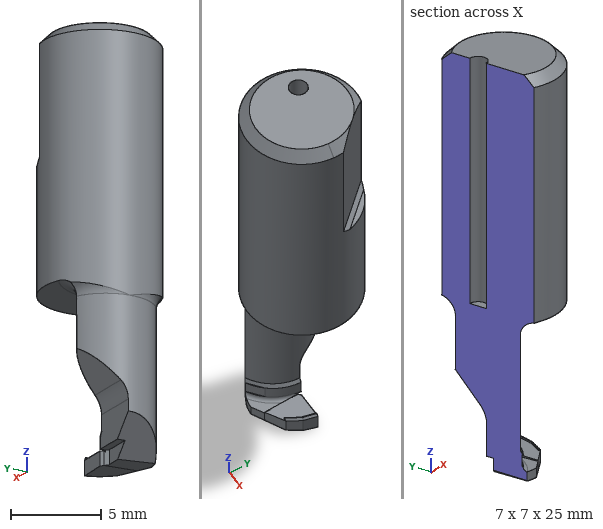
import cadquery as cq
import math

total_length = 25.0
shank_length = 15.0
shank_radius = 3.5
shank_chamfer = 0.6
shank_bottom = total_length - shank_length

flat_distance = shank_radius - shank_chamfer
flat_bevel = 0.25
flat_length = 7.5
flat_angle = 45.0

coolant_diameter = 1.1
coolant_depth = 15.0
coolant_x = -1.5
coolant_y = 0.66

neck_radius = 2.8
outer_center_x = neck_radius - shank_radius
neck_right_x = -0.38
inner_center_x = neck_right_x - neck_radius
neck_fillet = 1.0
neck_fillet_bottom = shank_bottom - neck_fillet

foot_radius = neck_radius + 0.15
foot_top = 1.73
foot_bevel_height = 0.22
foot_fillet = 0.24
foot_flat_end_x = -0.87

back_y = 0.1
runout_corner_z = 3.54
runout_radius = 1.5

heel_height = 2.22

head_top = 0.77
rake_y = 0.0
clearance_angle = 2.4
bottom_tilt = 1.5
tip_x = 1.78
head_flat_start = (-0.79, -neck_radius)
head_relief_corners = [(1.14, -1.69), (1.6, -0.86)]

gullet_top = 0.95
gullet_floor_y = -0.38
gullet_corner_x = -0.41
gullet_rake_x = gullet_corner_x + rake_y - gullet_floor_y

seat_back_step = 0.21
seat_back = (gullet_corner_x + seat_back_step, gullet_floor_y + seat_back_step)
seat_front_x = 0.0

tip_top = 0.93
land_top = 1.03
land_width = 0.18
land_chamfer = 0.12

reach = 10.0
margin = 1.0

diagonal = math.sqrt(0.5)


def fillet_middle(center_r, center_z, radius, down):
    """Middle point of a quarter arc on the side towards the axis."""
    offset = radius * diagonal
    return (center_r - offset, center_z - offset if down else center_z + offset)


def revolve_about(center_x, profile):
    """Revolve an (r, z) profile about the upright axis through (center_x, 0)."""
    return profile.close().revolve(360, (0, 0), (0, 1)).translate((center_x, 0, 0))


def make_shank():
    shank = cq.Workplane("XY").workplane(offset=shank_bottom).circle(shank_radius).extrude(shank_length)
    shank = shank.faces(">Z").chamfer(shank_chamfer)
    flat_floor = total_length - flat_length
    flat_cut = (
        cq.Workplane("XZ")
        .moveTo(flat_distance, total_length)
        .lineTo(flat_distance, flat_floor + flat_bevel)
        .lineTo(flat_distance + flat_bevel, flat_floor)
        .lineTo(reach, flat_floor)
        .lineTo(reach, total_length)
        .close()
        .extrude(reach, both=True)
        .rotate((0, 0, 0), (0, 0, 1), flat_angle)
    )
    return shank.cut(flat_cut)


def make_coolant_hole():
    return (
        cq.Workplane("XY", origin=(coolant_x, coolant_y, total_length))
        .circle(coolant_diameter / 2)
        .extrude(-coolant_depth)
    )


def foot_arc_y(x):
    """Y of the foot's round -Y side at a given X."""
    return -math.sqrt(foot_radius**2 - (x - inner_center_x) ** 2)


def make_foot_flat_cut():
    """Sliver outside the chord that flattens the -Y side of the foot."""
    centers_apart = outer_center_x - inner_center_x
    corner_from_center = (centers_apart**2 + foot_radius**2 - neck_radius**2) / (2 * centers_apart)
    corner_x = inner_center_x + corner_from_center
    middle_x = (corner_x + foot_flat_end_x) / 2
    return (
        cq.Workplane("XY", origin=(0, 0, head_top + foot_fillet))
        .moveTo(corner_x, foot_arc_y(corner_x))
        .threePointArc((middle_x, foot_arc_y(middle_x)), (foot_flat_end_x, foot_arc_y(foot_flat_end_x)))
        .close()
        .extrude(foot_top - head_top - foot_fillet)
    )


def make_neck():
    flare_radius = neck_radius + neck_fillet
    flare_middle = fillet_middle(flare_radius, neck_fillet_bottom, neck_fillet, down=False)
    outer = revolve_about(
        outer_center_x,
        cq.Workplane("XZ")
        .lineTo(neck_radius, 0)
        .lineTo(neck_radius, neck_fillet_bottom)
        .threePointArc(flare_middle, (flare_radius, shank_bottom))
        .lineTo(0, shank_bottom),
    )
    foot_base_radius = foot_radius + foot_fillet
    foot_fillet_top = head_top + foot_fillet
    foot_middle = fillet_middle(foot_base_radius, foot_fillet_top, foot_fillet, down=True)
    inner = revolve_about(
        inner_center_x,
        cq.Workplane("XZ")
        .moveTo(0, head_top)
        .lineTo(foot_base_radius, head_top)
        .threePointArc(foot_middle, (foot_radius, foot_fillet_top))
        .lineTo(foot_radius, foot_top)
        .lineTo(neck_radius, foot_top + foot_bevel_height)
        .lineTo(neck_radius, neck_fillet_bottom)
        .threePointArc(flare_middle, (flare_radius, shank_bottom))
        .lineTo(0, shank_bottom),
    )
    shank_limit = cq.Workplane("XY").circle(shank_radius).extrude(shank_bottom)
    inner = inner.cut(make_foot_flat_cut())
    return outer.intersect(inner).intersect(shank_limit)


def make_back_cut():
    """Space removed from the +Y side of the neck."""
    corner = (back_y, runout_corner_z)
    profile = (
        cq.Workplane("YZ")
        .moveTo(back_y, -margin)
        .lineTo(*corner)
        .lineTo(back_y + reach, runout_corner_z + reach)
        .lineTo(back_y + reach, -margin)
        .close()
        .extrude(reach, both=True)
    )
    corner_edge = cq.selectors.NearestToPointSelector((0, *corner))
    cut = profile.edges(corner_edge).fillet(runout_radius)
    below_shank = cq.Workplane("XY").box(2 * reach, 2 * reach, shank_bottom + margin, (True, True, False))
    return cut.intersect(below_shank.translate((0, 0, -margin)))


def make_heel_cut():
    """45 degree wedge removed from the lower -X corner."""
    return (
        cq.Workplane("XZ")
        .moveTo(-shank_radius, heel_height)
        .lineTo(-shank_radius + heel_height + margin, -margin)
        .lineTo(-shank_radius - margin, -margin)
        .lineTo(-shank_radius - margin, heel_height + margin)
        .close()
        .extrude(reach, both=True)
    )


def make_plate(top_z):
    """Outline of head and tip together, with its relief sides on -Y and +X."""
    return (
        cq.Workplane("XY")
        .moveTo(-shank_radius, rake_y)
        .threePointArc(
            (outer_center_x - neck_radius * diagonal, -neck_radius * diagonal),
            head_flat_start,
        )
        .polyline([head_flat_start, *head_relief_corners, (tip_x, rake_y)])
        .close()
        .extrude(top_z)
    )


def make_clearance(edge_z, direction):
    """Space beyond a face that leans inwards by the clearance angle, away from the rake face.

    The direction is 1 for a top face and -1 for a bottom face.
    """
    run = reach * math.tan(math.radians(clearance_angle))
    return (
        cq.Workplane("YZ")
        .moveTo(rake_y, edge_z)
        .lineTo(rake_y - reach, edge_z - direction * run)
        .lineTo(rake_y - reach, edge_z + direction * margin)
        .lineTo(rake_y + margin, edge_z + direction * margin)
        .lineTo(rake_y + margin, edge_z)
        .close()
        .extrude(reach, both=True)
    )


def make_bottom_clearance():
    """Space under head and tip, rising towards -X so that the tip's corner is lowest."""
    space = make_clearance(0, -1)
    return space.rotate((tip_x, 0, 0), (tip_x, 1, 0), bottom_tilt)


def make_tip_space():
    """Everything on the tip's side of the seat line and of the slanted gullet wall."""
    return (
        cq.Workplane("XY")
        .moveTo(gullet_rake_x, rake_y)
        .lineTo(*seat_back)
        .lineTo(seat_front_x, head_flat_start[1])
        .lineTo(reach, head_flat_start[1])
        .lineTo(reach, rake_y)
        .close()
        .extrude(land_top)
    )


def make_gullet():
    return (
        cq.Workplane("XY")
        .moveTo(gullet_rake_x, rake_y)
        .lineTo(gullet_corner_x, gullet_floor_y)
        .lineTo(-reach, gullet_floor_y)
        .lineTo(-reach, reach)
        .lineTo(reach, reach)
        .lineTo(reach, rake_y)
        .close()
        .extrude(gullet_top)
    )


def make_land_space():
    """Narrow strip along the +X cutting sides of the tip."""
    edge = [*head_relief_corners, (tip_x, rake_y)]
    inner_line = [(x - land_width, y) for x, y in edge]
    outer_line = [(x + margin, y) for x, y in reversed(edge)]
    return cq.Workplane("XY").polyline(inner_line + outer_line).close().extrude(land_top)


def make_land():
    """Raised land that is beveled along the +X cutting sides."""
    land = make_plate(land_top).cut(make_clearance(land_top, 1))
    corners = [*head_relief_corners, (tip_x, rake_y)]
    for start, end in zip(corners, corners[1:]):
        middle_x = (start[0] + end[0]) / 2
        middle_y = (start[1] + end[1]) / 2
        middle_z = land_top + (middle_y - rake_y) * math.tan(math.radians(clearance_angle))
        side_edge = cq.selectors.NearestToPointSelector((middle_x, middle_y, middle_z))
        land = land.edges(side_edge).chamfer(land_chamfer)
    return land.intersect(make_land_space())


def make_tip():
    """Cutting tip seated against the head."""
    body = make_plate(tip_top).cut(make_clearance(tip_top, 1)).cut(make_land_space())
    return body.union(make_land()).intersect(make_tip_space()).cut(make_bottom_clearance())


def make_holder(tip):
    """Shank, neck and head in one piece, with a seat for the tip."""
    head = make_plate(head_top).cut(make_tip_space())
    lower = make_neck().cut(make_back_cut()).union(head)
    lower = lower.cut(make_heel_cut()).cut(make_gullet()).cut(make_bottom_clearance())
    return make_shank().union(lower).cut(make_coolant_hole()).cut(tip)


tip = make_tip()
holder = make_holder(tip)

result = cq.Compound.makeCompound([holder.solids().val(), tip.solids().val()])